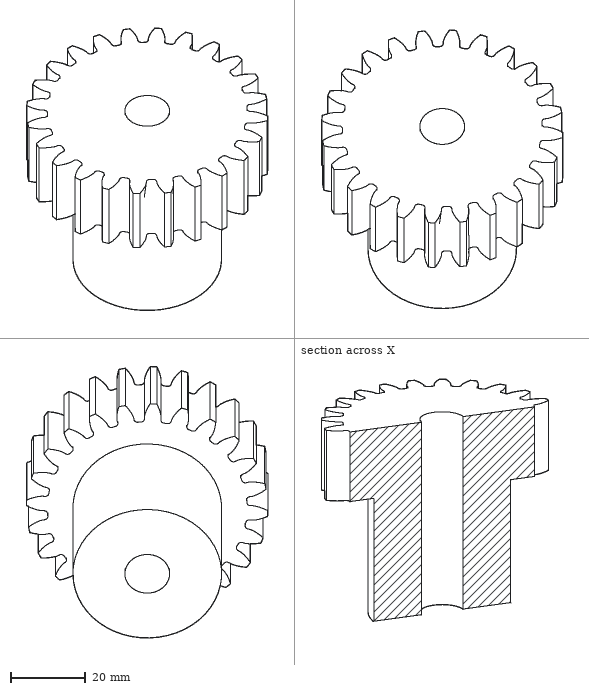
import cadquery as cq
import math

overall_width = 64.65
overall_height = 55.0
gear_thickness = 20.0
hub_diameter = 40.0
bore_diameter = 12.0
root_fillet_radius = 1.0

tooth_count = 24
pressure_angle = math.radians(20)
addendum_in_modules = 1.0
dedendum_in_modules = 1.25
flank_segments = 6


def involute(angle):
    """Involute function: polar angle swept by an involute at a given pressure angle."""
    return math.tan(angle) - angle


def polar(radius, angle):
    return (radius * math.cos(angle), radius * math.sin(angle))


pitch_angle = 2 * math.pi / tooth_count
base_half_angle = pitch_angle / 4 + involute(pressure_angle)
pitch_radius_in_modules = tooth_count / 2
base_radius_in_modules = pitch_radius_in_modules * math.cos(pressure_angle)
tip_radius_in_modules = pitch_radius_in_modules + addendum_in_modules
tip_pressure_angle = math.acos(base_radius_in_modules / tip_radius_in_modules)
tip_half_angle = base_half_angle - involute(tip_pressure_angle)

tip_radius = overall_width / 2 / math.cos(pitch_angle / 2 - tip_half_angle)
module = tip_radius / tip_radius_in_modules
base_radius = base_radius_in_modules * module
root_radius = (pitch_radius_in_modules - dedendum_in_modules) * module

fillet_centre_radius = root_radius + root_fillet_radius
fillet_half_angle = base_half_angle + math.asin(root_fillet_radius / fillet_centre_radius)
fillet_top_radius = math.sqrt(fillet_centre_radius**2 - root_fillet_radius**2)


def flank_points(tooth_angle, side):
    """Involute points from base circle to tip; side is -1 or +1 about the tooth centre line."""
    points = []
    for step in range(flank_segments + 1):
        local_angle = math.atan(math.tan(tip_pressure_angle) * step / flank_segments)
        radius = base_radius / math.cos(local_angle)
        half_angle = base_half_angle - involute(local_angle)
        points.append(polar(radius, tooth_angle + side * half_angle))
    return points


def fillet_middle(tooth_angle, side):
    """Midpoint of the root fillet arc on one side of a tooth."""
    centre_x, centre_y = polar(fillet_centre_radius, tooth_angle + side * fillet_half_angle)
    root_x, root_y = polar(root_radius, tooth_angle + side * fillet_half_angle)
    top_x, top_y = polar(fillet_top_radius, tooth_angle + side * base_half_angle)
    to_middle_x = root_x + top_x - 2 * centre_x
    to_middle_y = root_y + top_y - 2 * centre_y
    stretch = root_fillet_radius / math.hypot(to_middle_x, to_middle_y)
    return (centre_x + to_middle_x * stretch, centre_y + to_middle_y * stretch)


def add_tooth(outline, tooth_angle):
    """Draw one tooth, then the root arc that leads to the next tooth."""
    rising = flank_points(tooth_angle, -1)
    falling = flank_points(tooth_angle, 1)[::-1]
    fillet_top = polar(fillet_top_radius, tooth_angle - base_half_angle)
    next_fillet_top = polar(fillet_top_radius, tooth_angle + base_half_angle)
    root_start = polar(root_radius, tooth_angle + fillet_half_angle)
    root_middle = polar(root_radius, tooth_angle + pitch_angle / 2)
    root_end = polar(root_radius, tooth_angle + pitch_angle - fillet_half_angle)
    return (
        outline.threePointArc(fillet_middle(tooth_angle, -1), fillet_top)
        .lineTo(*rising[0])
        .spline(rising[1:], includeCurrent=True)
        .threePointArc(polar(tip_radius, tooth_angle), falling[0])
        .spline(falling[1:], includeCurrent=True)
        .lineTo(*next_fillet_top)
        .threePointArc(fillet_middle(tooth_angle, 1), root_start)
        .threePointArc(root_middle, root_end)
    )


def make_gear():
    first_tooth_angle = pitch_angle / 2
    start = polar(root_radius, first_tooth_angle - fillet_half_angle)
    outline = cq.Workplane("XY").workplane(offset=overall_height - gear_thickness).moveTo(*start)
    for tooth in range(tooth_count):
        outline = add_tooth(outline, first_tooth_angle + tooth * pitch_angle)
    return outline.close().extrude(gear_thickness)


def make_hub():
    return cq.Workplane("XY").circle(hub_diameter / 2).extrude(overall_height - gear_thickness)


def make_bore():
    return cq.Workplane("XY").circle(bore_diameter / 2).extrude(overall_height)


result = make_hub().union(make_gear()).cut(make_bore())